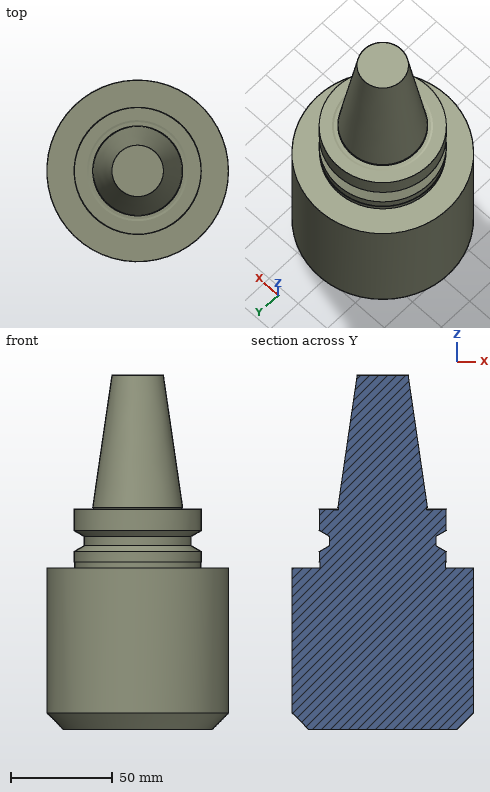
import cadquery as cq
import math

TOTAL_HEIGHT = 175.4
BODY_TOP = 80.0
FLANGE_TOP = 109.1
TAPER_BASE = 110.0
NOSE_CHAMFER_HEIGHT = 8.2
SEAM_HEIGHT = 3.0
GROOVE_FLOOR_BOTTOM = 91.0
GROOVE_FLOOR_TOP = 95.6

BODY_DIAMETER = 90.0
NOSE_DIAMETER = 73.7
FLANGE_DIAMETER = 63.0
SHOULDER_DIAMETER = 62.5
GROOVE_DIAMETER = 53.0
TAPER_BASE_DIAMETER = 44.5
NECK_DIAMETER = 43.8
TAPER_RATIO = 7 / 24

RELIEF_OUTER_DIAMETER = 50.0
RELIEF_FLOOR_DIAMETER = 48.0
RELIEF_DEPTH = 0.2

GROOVE_FLANK_ANGLE = 30

flank_height = (FLANGE_DIAMETER - GROOVE_DIAMETER) / 2 * math.tan(math.radians(GROOVE_FLANK_ANGLE))
tip_diameter = TAPER_BASE_DIAMETER - (TOTAL_HEIGHT - TAPER_BASE) * TAPER_RATIO
seam_level = BODY_TOP + SEAM_HEIGHT
relief_floor = FLANGE_TOP - RELIEF_DEPTH

section = [
    (0, 0),
    (NOSE_DIAMETER, 0),
    (BODY_DIAMETER, NOSE_CHAMFER_HEIGHT),
    (BODY_DIAMETER, BODY_TOP),
    (SHOULDER_DIAMETER, BODY_TOP),
    (SHOULDER_DIAMETER, seam_level),
    (FLANGE_DIAMETER, seam_level),
    (FLANGE_DIAMETER, GROOVE_FLOOR_BOTTOM - flank_height),
    (GROOVE_DIAMETER, GROOVE_FLOOR_BOTTOM),
    (GROOVE_DIAMETER, GROOVE_FLOOR_TOP),
    (FLANGE_DIAMETER, GROOVE_FLOOR_TOP + flank_height),
    (FLANGE_DIAMETER, FLANGE_TOP),
    (RELIEF_OUTER_DIAMETER, FLANGE_TOP),
    (RELIEF_FLOOR_DIAMETER, relief_floor),
    (NECK_DIAMETER, relief_floor),
    (NECK_DIAMETER, TAPER_BASE),
    (TAPER_BASE_DIAMETER, TAPER_BASE),
    (tip_diameter, TOTAL_HEIGHT),
    (0, TOTAL_HEIGHT),
]

half_section = [(diameter / 2, height) for diameter, height in section]

result = cq.Workplane("XZ").polyline(half_section).close().revolve(360, (0, 0), (0, 1))